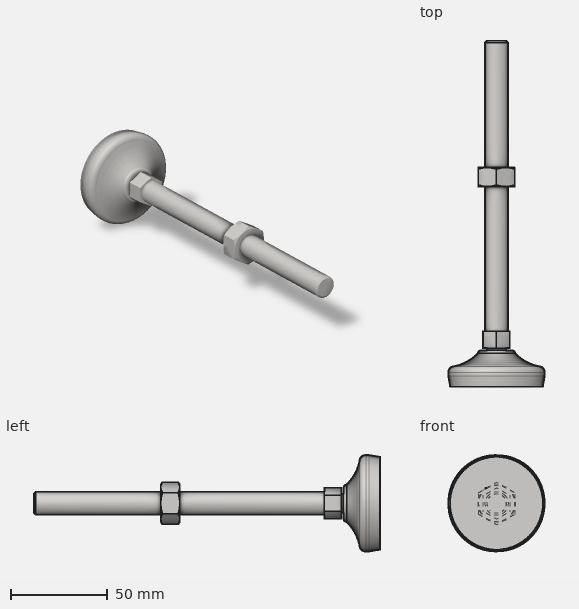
import cadquery as cq
import math

total_length = 179.0

foot_diameter = 50.0
sole_diameter = 48.0
taper_height = 5.9
band_height = 7.5
shoulder_height = 10.7
flare_height = 17.4
foot_height = 19.0
shoulder_radius = 21.8
flare_top_radius = 9.7
flare_sag = 1.0
crown_radius = 7.9

neck_diameter = 10.0
stud_diameter = 12.0
tip_chamfer = 1.0

wrench_flats = 14.0
wrench_start = 20.0
wrench_end = 28.8

nut_flats = 19.0
nut_start = 103.5
nut_thickness = 10.0
nut_face_diameter = 18.6
nut_chamfer_angle = 30.0


def cylinder(diameter, start, end):
    """Cylinder around the Y axis between two heights."""
    return cq.Workplane("XZ", origin=(0, start, 0)).circle(diameter / 2).extrude(start - end)


def across_corners(flats):
    return flats / math.cos(math.pi / 6)


def hexagon(flats, start, end):
    """Hexagonal prism around the Y axis with corners toward +Z and -Z."""
    plane = cq.Workplane("XZ", origin=(0, start, 0)).transformed(rotate=(0, 0, 90))
    return plane.polygon(6, across_corners(flats)).extrude(start - end)


def revolve_around_y(profile):
    return profile.close().revolve(360, (0, 0, 0), (0, 1, 0))


def make_foot():
    rise = flare_height - shoulder_height
    run = shoulder_radius - flare_top_radius
    chord = math.hypot(rise, run)
    flare_middle = (
        (shoulder_radius + flare_top_radius) / 2 - flare_sag * rise / chord,
        (shoulder_height + flare_height) / 2 - flare_sag * run / chord,
    )
    crown_edge_middle = (
        crown_radius + (flare_top_radius - crown_radius) * math.sqrt(0.5),
        flare_height + (foot_height - flare_height) * math.sqrt(0.5),
    )
    profile = (
        cq.Workplane("XY")
        .lineTo(sole_diameter / 2, 0)
        .lineTo(foot_diameter / 2, taper_height)
        .lineTo(foot_diameter / 2, band_height)
        .tangentArcPoint((shoulder_radius, shoulder_height), relative=False)
        .threePointArc(flare_middle, (flare_top_radius, flare_height))
        .threePointArc(crown_edge_middle, (crown_radius, foot_height))
        .lineTo(0, foot_height)
    )
    return revolve_around_y(profile)


def make_stud():
    neck = cylinder(neck_diameter, foot_height, wrench_start)
    wrench_hexagon = hexagon(wrench_flats, wrench_start, wrench_end)
    rod = cylinder(stud_diameter, wrench_end, total_length).faces(">Y").chamfer(tip_chamfer)
    return neck.union(wrench_hexagon).union(rod)


def make_nut():
    """Hexagon nut with its corners turned off conically at both ends."""
    nut_end = nut_start + nut_thickness
    face_radius = nut_face_diameter / 2
    corner_radius = across_corners(nut_flats) / 2
    chamfer_depth = (corner_radius - face_radius) * math.tan(math.radians(nut_chamfer_angle))
    envelope = revolve_around_y(
        cq.Workplane("XY")
        .moveTo(0, nut_start)
        .lineTo(face_radius, nut_start)
        .lineTo(corner_radius, nut_start + chamfer_depth)
        .lineTo(corner_radius, nut_end - chamfer_depth)
        .lineTo(face_radius, nut_end)
        .lineTo(0, nut_end)
    )
    return hexagon(nut_flats, nut_start, nut_end).intersect(envelope)


result = make_foot().union(make_stud()).union(make_nut())